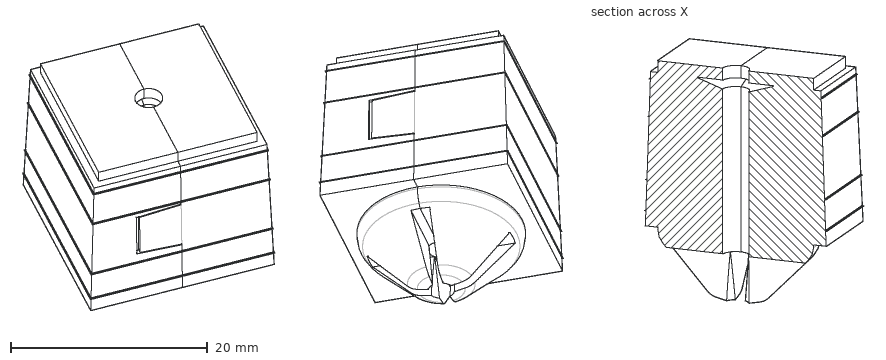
import cadquery as cq
import math

TOTAL_HEIGHT = 24.8
BLOCK_BOTTOM = 7.11
BLOCK_TOP = 23.55
OVERALL_HALF_WIDTH = 10.0

WALL_DRAFT = 2.0
BEAD_ANGLE = 45.0
BEAD_OUT = 0.105
BEAD_OVERLAP = 0.15
BEAD_LIPS = (8.73, 12.02, 18.75, 22.73)
STEP_HALF_WIDTH = 8.58

TIP_CORNER_RADIUS = 3.02
TIP_SLOPE = 12.5
CONE_SLOPE = 45.7
TIP_ROUND = 2.0
SHOULDER_ROUND = 2.0

SLOT_TOP = 5.08
SLOT_TOP_WIDTH = 1.98
SLOT_BOTTOM_WIDTH = 1.1

BORE_RADIUS = 1.41
BORE_TIP_RADIUS = 1.35
PLATE_BOTTOM = 23.48
FUNNEL_BOTTOM = 22.55
FUNNEL_RADIUS = 4.21

TONGUE_CENTRE_Z = 15.67
TONGUE_LENGTH = 4.5
TONGUE_ROOT_HEIGHT = 5.3
TONGUE_DRAFT = 3.5
POCKET_LENGTH = 4.85
POCKET_CLEARANCE = 0.1
FLOOR_TIP_X = 9.27
FLOOR_ROOT_X = 8.65

REACH = 29.75


def wall_half_width(z):
    """Half width of the drafted wall at height z; the lowest bead sets the overall width."""
    lowest_lip = BEAD_LIPS[0]
    return OVERALL_HALF_WIDTH - BEAD_OUT - (z - lowest_lip) * math.tan(math.radians(WALL_DRAFT))


def square_prism(half_width, z_bottom, z_top, taper=0.0):
    """Square prism about the Z axis, narrowing upward by the taper angle."""
    base = cq.Workplane("XY").workplane(offset=z_bottom).rect(2 * half_width, 2 * half_width)
    return base.extrude(z_top - z_bottom, taper=taper)


def drafted_block():
    return square_prism(wall_half_width(BLOCK_BOTTOM), BLOCK_BOTTOM, BLOCK_TOP, WALL_DRAFT)


def bead(lip_z):
    """Ring around the wall with a flat underside and a sloping top."""
    lip_half_width = wall_half_width(lip_z) + BEAD_OUT
    return square_prism(lip_half_width, lip_z, lip_z + BEAD_OUT + BEAD_OVERLAP, BEAD_ANGLE)


def edge_at_height(z):
    """Selector for the circular edge centred on the Z axis at height z."""
    margin = 0.02
    return cq.selectors.BoxSelector((-margin, -margin, z - margin), (margin, margin, z + margin))


def nose():
    """Revolved nose, its two corners rounded after turning."""
    tip_corner_z = (TIP_CORNER_RADIUS - BORE_TIP_RADIUS) * math.tan(math.radians(TIP_SLOPE))
    cone_width = STEP_HALF_WIDTH - TIP_CORNER_RADIUS
    shoulder_z = tip_corner_z + cone_width * math.tan(math.radians(CONE_SLOPE))
    profile = (
        cq.Workplane("XZ")
        .polyline(
            [
                (0, 0),
                (BORE_TIP_RADIUS, 0),
                (TIP_CORNER_RADIUS, tip_corner_z),
                (STEP_HALF_WIDTH, shoulder_z),
                (STEP_HALF_WIDTH, BLOCK_BOTTOM),
                (0, BLOCK_BOTTOM),
            ]
        )
        .close()
    )
    turned_nose = profile.revolve(360, (0, 0, 0), (0, 1, 0))
    turned_nose = turned_nose.edges(edge_at_height(tip_corner_z)).fillet(TIP_ROUND)
    return turned_nose.edges(edge_at_height(shoulder_z)).fillet(SHOULDER_ROUND)


def slot(plane):
    """Tapered slot through the whole nose, square to the given plane."""
    outline = cq.Workplane(plane).polyline(
        [
            (-SLOT_BOTTOM_WIDTH / 2, 0),
            (SLOT_BOTTOM_WIDTH / 2, 0),
            (SLOT_TOP_WIDTH / 2, SLOT_TOP),
            (-SLOT_TOP_WIDTH / 2, SLOT_TOP),
        ]
    )
    return outline.close().extrude(REACH / 2, both=True)


def bore():
    """Through bore: funnel under the top plate, slight narrowing between the prongs."""
    profile = cq.Workplane("XZ").polyline(
        [
            (0, 0),
            (BORE_TIP_RADIUS, 0),
            (BORE_RADIUS, SLOT_TOP),
            (BORE_RADIUS, FUNNEL_BOTTOM),
            (FUNNEL_RADIUS, PLATE_BOTTOM),
            (BORE_RADIUS, PLATE_BOTTOM),
            (BORE_RADIUS, TOTAL_HEIGHT),
            (0, TOTAL_HEIGHT),
        ]
    )
    return profile.close().revolve(360, (0, 0, 0), (0, 1, 0))


def whole_body():
    """Both halves together, before they are parted at Y = 0."""
    body = drafted_block().union(square_prism(STEP_HALF_WIDTH, BLOCK_TOP, TOTAL_HEIGHT))
    for lip_z in BEAD_LIPS:
        body = body.union(bead(lip_z))
    body = body.union(nose())
    for plane in ("XZ", "YZ"):
        body = body.cut(slot(plane))
    return body.cut(bore())


def tongue_shape(length, root_height):
    """Tapering solid on the -X side, from the parting plane to Y = length and from the floor outward."""
    root_half = root_height / 2
    tip_half = root_half - length * math.tan(math.radians(TONGUE_DRAFT))
    side = (
        cq.Workplane("YZ")
        .polyline(
            [
                (0, TONGUE_CENTRE_Z - root_half),
                (length, TONGUE_CENTRE_Z - tip_half),
                (length, TONGUE_CENTRE_Z + tip_half),
                (0, TONGUE_CENTRE_Z + root_half),
            ]
        )
        .close()
        .extrude(-REACH)
    )
    above_floor = (
        cq.Workplane("XY")
        .polyline(
            [
                (-FLOOR_ROOT_X, 0),
                (-FLOOR_TIP_X, POCKET_LENGTH),
                (-REACH, POCKET_LENGTH),
                (-REACH, 0),
            ]
        )
        .close()
        .extrude(REACH)
    )
    return side.intersect(above_floor)


def turned(shape):
    """The shape turned half a revolution about the Z axis."""
    return shape.rotate((0, 0, 0), (0, 0, 1), 180)


def shell_half():
    """The -Y half: tongue on its -X side, pocket for the other half's tongue on its +X side."""
    front_space = cq.Workplane("XY").box(2 * REACH, REACH, REACH, centered=(True, False, False))
    front_space = front_space.translate((0, -REACH, 0))
    tongue = tongue_shape(TONGUE_LENGTH, TONGUE_ROOT_HEIGHT).intersect(drafted_block())
    pocket = tongue_shape(POCKET_LENGTH, TONGUE_ROOT_HEIGHT + 2 * POCKET_CLEARANCE)
    half = whole_body().intersect(front_space).cut(turned(pocket))
    return half.union(tongue, clean=False).solids()


front_half = shell_half()
back_half = turned(front_half)

result = cq.Compound.makeCompound([front_half.val(), back_half.val()])